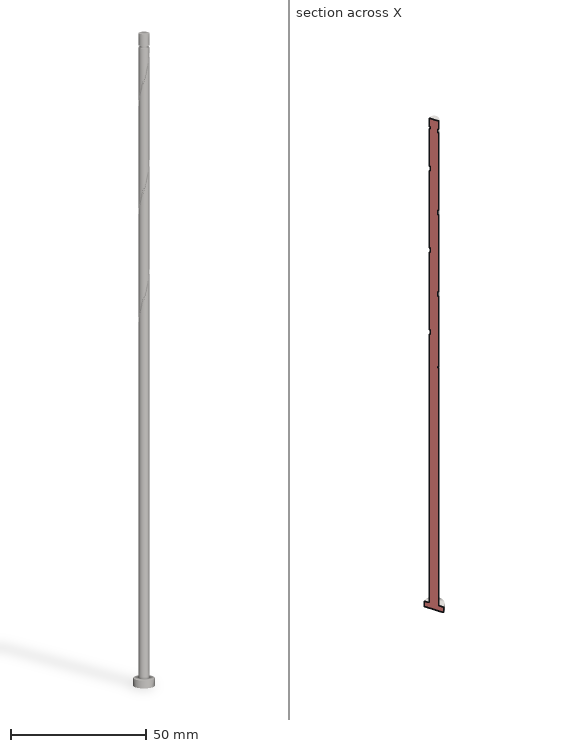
import cadquery as cq

length = 250.0
head_diameter = 8.0
head_height = 3.0
shank_diameter = 4.0

tip_length = 5.0
groove_depth = 0.4
ring_groove_width = 0.8
helix_groove_width = 2.0
helix_height = length / 2
helix_turns = 3
helix_start_angle = 90.0

shank_radius = shank_diameter / 2
ring_groove_z = length - tip_length
helix_bottom_z = ring_groove_z - helix_height
helix_pitch = helix_height / helix_turns


def make_pin():
    """Plain round pin standing on its disc head, centred on Z."""
    head = cq.Workplane("XY").circle(head_diameter / 2).extrude(head_height)
    shank = cq.Workplane("XY").circle(shank_radius).extrude(length)
    return head.union(shank)


def make_ring_groove():
    """Square-section ring that cuts a groove around the shank below the tip."""
    return (
        cq.Workplane("XY", origin=(0, 0, ring_groove_z - ring_groove_width / 2))
        .circle(shank_diameter)
        .circle(shank_radius - groove_depth)
        .extrude(ring_groove_width)
    )


def make_helical_groove():
    """Right-handed rectangular thread that starts on the +Y side and climbs to the ring groove."""
    helix = cq.Wire.makeHelix(helix_pitch, helix_height, shank_radius)
    thread = (
        cq.Workplane("XZ", origin=(shank_radius, 0, 0))
        .rect(2 * groove_depth, helix_groove_width)
        .sweep(cq.Workplane(obj=helix), isFrenet=True)
    )
    return (
        thread.rotate((0, 0, 0), (0, 0, 1), helix_start_angle)
        .translate((0, 0, helix_bottom_z))
    )


result = make_pin().cut(make_ring_groove()).cut(make_helical_groove())